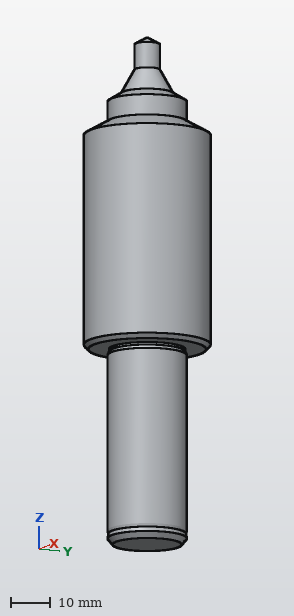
import cadquery as cq

total_height = 130.0
body_radius = 32.0 / 2
shank_radius = 20.0 / 2
collar_radius = shank_radius
pin_radius = 3.2

end_chamfer_width = 1.3
end_chamfer_height = 1.5
groove_depth = 0.2
groove_bottom_z = 2.7
groove_top_z = 3.5

relief_radius = 9.6
relief_taper_bottom_z = 48.5
relief_taper_top_z = 49.4

body_bottom_z = 50.0
body_chamfer = 1.2
shoulder_bottom_z = 104.9
shoulder_top_z = 108.3

collar_top_z = 113.5
cone_step_radius = 6.6
cone_step_z = 115.6
pin_bottom_z = 121.7
tip_height = 1.8

shank_profile = [
    (0, 0),
    (shank_radius - end_chamfer_width, 0),
    (shank_radius, end_chamfer_height),
    (shank_radius - groove_depth, groove_bottom_z),
    (shank_radius, groove_top_z),
    (shank_radius, relief_taper_bottom_z),
    (relief_radius, relief_taper_top_z),
    (relief_radius, body_bottom_z),
]
body_profile = [
    (body_radius - body_chamfer, body_bottom_z),
    (body_radius, body_bottom_z + body_chamfer),
    (body_radius, shoulder_bottom_z),
    (collar_radius, shoulder_top_z),
]
nose_profile = [
    (collar_radius, collar_top_z),
    (cone_step_radius, cone_step_z),
    (pin_radius, pin_bottom_z),
    (pin_radius, total_height - tip_height),
    (0, total_height),
]

result = (
    cq.Workplane("XZ")
    .polyline(shank_profile + body_profile + nose_profile)
    .close()
    .revolve(360, (0, 0, 0), (0, 1, 0))
)